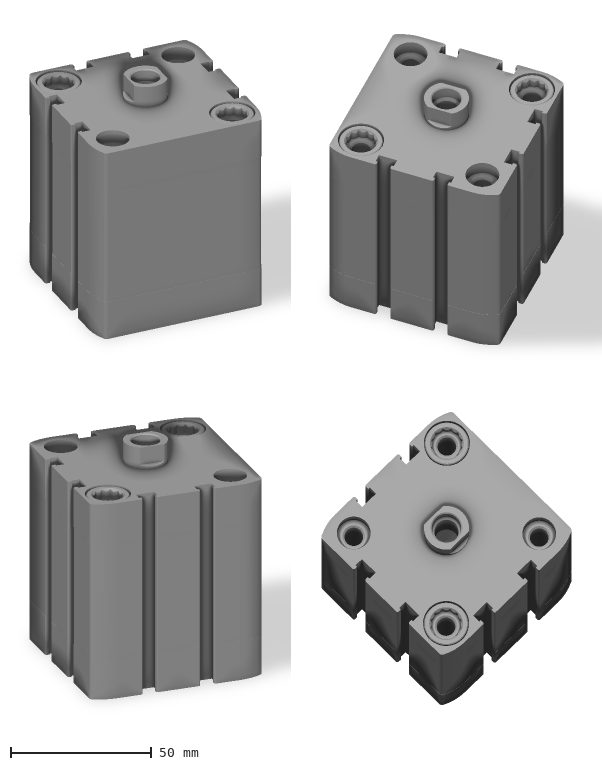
import cadquery as cq
import math

side = 65.5
housing_height = 75.0
cap_height = 15.0
tube_inset = 0.07

arc_radius = 19.3
arc_start = 23.2
corner_blend = 1.5

slot_offset = 11.0
slot_throat = 5.3
slot_width = 6.9
slot_depth = 4.8
lip_depth = 1.7
lip_chamfer = 0.4

hole_pitch = 46.5
through_diameter = 6.65
hole_mouth_diameter = 8.0
counterbore_diameter = 12.0
counterbore_depth = 5.0

recess_diameter = 16.4
recess_depth = 3.3
head_diameter = 15.5
head_chamfer = 0.3
head_drop = 0.3
socket_mouth_diameter = 12.0
socket_diameter = 11.5
socket_sides = 6
socket_core_diameter = 10.5
socket_depth = 4.2
socket_cone_angle = 35.0

rod_diameter = 16.0
rod_top = 83.2
rod_bottom = 41.6
flat_width = 13.0
flat_length = 6.6
flat_runout = 0.7
bore_diameter = 10.5
bore_mouth_diameter = 11.3
bore_depth = 4.7
core_diameter = 8.6
core_depth = 20.0
drill_point_angle = 59.0


def cone(bottom_diameter, top_diameter, bottom_z, height):
    """Frustum or pointed cone on the Z axis."""
    bottom, top = bottom_diameter / 2, top_diameter / 2
    return cq.Workplane(cq.Solid.makeCone(bottom, top, height, pnt=cq.Vector(0, 0, bottom_z)))


def cylinder(diameter, bottom_z, top_z):
    return cq.Workplane("XY", origin=(0, 0, bottom_z)).circle(diameter / 2).extrude(top_z - bottom_z)


def rounded_block(half, bottom_z, height):
    """Square block with the large arcs on its four corners."""
    arc_centre_y = half - arc_radius
    arc_end_y = arc_centre_y + math.sqrt(arc_radius**2 - (half - arc_start) ** 2)
    mid_angle = (math.pi / 2 + math.atan2(arc_end_y - arc_centre_y, half - arc_start)) / 2
    mid_x = arc_start + arc_radius * math.cos(mid_angle)
    mid_y = arc_centre_y + arc_radius * math.sin(mid_angle)
    return (
        cq.Workplane("XY", origin=(0, 0, bottom_z))
        .moveTo(-arc_start, half)
        .lineTo(arc_start, half)
        .threePointArc((mid_x, mid_y), (half, arc_end_y))
        .lineTo(half, -arc_end_y)
        .threePointArc((mid_x, -mid_y), (arc_start, -half))
        .lineTo(-arc_start, -half)
        .threePointArc((-mid_x, -mid_y), (-half, -arc_end_y))
        .lineTo(-half, arc_end_y)
        .threePointArc((-mid_x, mid_y), (-arc_start, half))
        .close()
        .extrude(height)
        .edges("|Z and (<X or >X)")
        .fillet(corner_blend)
    )


def housing_blank():
    tube_height = housing_height - 2 * cap_height
    bottom_cap = rounded_block(side / 2, 0, cap_height)
    tube = rounded_block(side / 2 - tube_inset, cap_height, tube_height)
    top_cap = rounded_block(side / 2, cap_height + tube_height, cap_height)
    return bottom_cap.union(tube).union(top_cap)


def slot_pair():
    """Cutter for the two T-slots of the -Y face."""
    face_y = -side / 2
    throat, wall = slot_throat / 2, slot_width / 2
    half_profile = [
        (throat + lip_chamfer, face_y),
        (throat, face_y + lip_chamfer),
        (throat, face_y + lip_depth),
        (wall, face_y + lip_depth),
        (wall, face_y + slot_depth),
    ]
    profile = half_profile + [(-x, y) for x, y in reversed(half_profile)]
    centres = [(-slot_offset, 0), (slot_offset, 0)]
    slot = cq.Workplane("XY").polyline(profile).close().extrude(housing_height).val()
    return cq.Workplane("XY").pushPoints(centres).eachpoint(lambda place: slot.moved(place))


def hole_cutter(floor_z):
    """Through hole with a 45 degree mouth at the given height."""
    chamfer = (hole_mouth_diameter - through_diameter) / 2
    mouth = cone(through_diameter, hole_mouth_diameter, floor_z - chamfer, chamfer)
    return cylinder(through_diameter, 0, floor_z).union(mouth)


def counterbored_hole():
    floor_z = housing_height - counterbore_depth
    return hole_cutter(floor_z).union(cylinder(counterbore_diameter, floor_z, housing_height))


def twelve_point_socket(bottom_z, top_z):
    """Two hexagons, half a corner pitch apart, with their inner corners rounded off by a core."""
    socket = cylinder(socket_core_diameter, bottom_z, top_z)
    for turn in (0, 180 / socket_sides):
        hexagon = cq.Workplane("XY", origin=(0, 0, bottom_z)).polygon(socket_sides, socket_diameter)
        socket = socket.union(hexagon.extrude(top_z - bottom_z).rotate((0, 0, 0), (0, 0, 1), turn))
    return socket


def screw_head_cutter():
    """Space around a recessed screw head, with its socket and through hole."""
    top_z = housing_height
    face_z = top_z - head_drop
    floor_z = top_z - socket_depth
    recess = cylinder(recess_diameter, top_z - recess_depth, top_z)
    head = cylinder(head_diameter, top_z - recess_depth, face_z).faces(">Z").chamfer(head_chamfer)
    cone_depth = (socket_mouth_diameter - socket_core_diameter) / 2 / math.tan(math.radians(socket_cone_angle))
    lead_in = cone(socket_core_diameter, socket_mouth_diameter, face_z - cone_depth, cone_depth)
    socket = twelve_point_socket(floor_z, face_z).union(lead_in)
    return recess.cut(head).union(socket).union(hole_cutter(floor_z))


def build_housing():
    housing = housing_blank()
    for turn in (0, 180, -90):
        housing = housing.cut(slot_pair().rotate((0, 0, 0), (0, 0, 1), turn))
    half_pitch = hole_pitch / 2
    for direction in (-1, 1):
        x = direction * half_pitch
        housing = housing.cut(screw_head_cutter().translate((x, x, 0)))
        housing = housing.cut(counterbored_hole().translate((x, -x, 0)))
    return housing.cut(cylinder(rod_diameter, rod_bottom, housing_height))


def wrench_flat():
    """Cutter for the -Y wrench flat, with its sloped run-out."""
    flat_y = -flat_width / 2
    rim_y = -rod_diameter / 2
    flat_z = rod_top - flat_length
    return (
        cq.Workplane("YZ")
        .polyline([(flat_y, rod_top), (flat_y, flat_z), (rim_y, flat_z - flat_runout), (rim_y, rod_top)])
        .close()
        .extrude(rod_diameter / 2, both=True)
    )


def rod_bore():
    """Threaded bore: chamfered mouth, wide entry, narrower core and drill point."""
    mouth_chamfer = (bore_mouth_diameter - bore_diameter) / 2
    step = (bore_diameter - core_diameter) / 2
    point = core_diameter / 2 / math.tan(math.radians(drill_point_angle))
    bore_floor = rod_top - bore_depth
    core_floor = rod_top - core_depth
    bore = cylinder(bore_diameter, bore_floor, rod_top)
    bore = bore.union(cone(bore_diameter, bore_mouth_diameter, rod_top - mouth_chamfer, mouth_chamfer))
    bore = bore.union(cone(core_diameter, bore_diameter, bore_floor - step, step))
    bore = bore.union(cylinder(core_diameter, core_floor, bore_floor))
    return bore.union(cone(0, core_diameter, core_floor - point, point))


def build_rod():
    rod = cylinder(rod_diameter, rod_bottom, rod_top)
    for turn in (0, 180):
        rod = rod.cut(wrench_flat().rotate((0, 0, 0), (0, 0, 1), turn))
    return rod.cut(rod_bore())


housing = build_housing()
rod = build_rod()
result = cq.Compound.makeCompound([housing.val(), rod.val()])